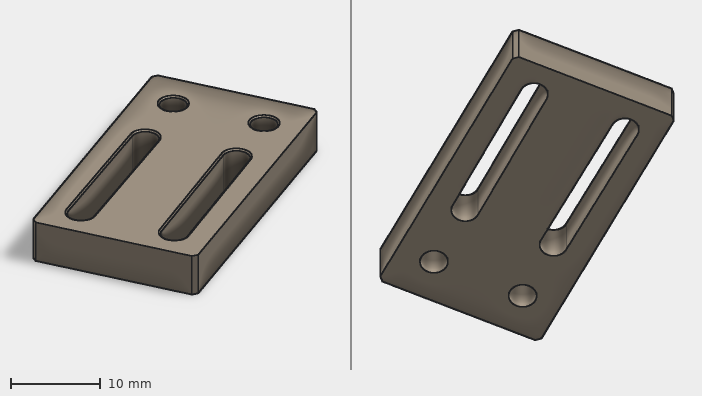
import cadquery as cq
import math

WIDTH = 20.0
LENGTH = 35.0
THICKNESS = 5.0
CORNER_CHAMFER = 0.52

BORE_DIAMETER = 3.1
RIM_CHAMFER = 0.2
RIM_CONE_ANGLE = 90
COLUMN_X = 5.5
HOLE_EDGE_DISTANCE = 5.0
HOLE_Y = LENGTH / 2 - HOLE_EDGE_DISTANCE

LEFT_SLOT_TOP = (-COLUMN_X, 4.45)
LEFT_SLOT_BOTTOM = (-5.67, -13.5)
RIGHT_SLOT_TOP = (COLUMN_X, 4.55)
RIGHT_SLOT_BOTTOM = (5.65, -13.48)


def make_plate():
    plate = cq.Workplane("XY").box(WIDTH, LENGTH, THICKNESS, centered=(True, True, False))
    return plate.edges("|Z").chamfer(CORNER_CHAMFER)


def cut_holes(body):
    centres = [(-COLUMN_X, HOLE_Y), (COLUMN_X, HOLE_Y)]
    rim_diameter = BORE_DIAMETER + 2 * RIM_CHAMFER
    return body.faces(">Z").workplane(origin=(0, 0, THICKNESS)).pushPoints(centres).cskHole(
        BORE_DIAMETER, rim_diameter, RIM_CONE_ANGLE
    )


def slot_cutter(top, bottom):
    """Through slot between two end centres, widening at the upper rim."""
    dx = top[0] - bottom[0]
    dy = top[1] - bottom[1]
    overall_length = math.hypot(dx, dy) + BORE_DIAMETER
    angle = math.degrees(math.atan2(dy, dx))
    middle = ((top[0] + bottom[0]) / 2, (top[1] + bottom[1]) / 2)

    bore = cq.Workplane("XY").center(*middle).slot2D(overall_length, BORE_DIAMETER, angle).extrude(THICKNESS)
    rim = (
        cq.Workplane("XY", origin=(0, 0, THICKNESS))
        .center(*middle)
        .slot2D(overall_length + 2 * RIM_CHAMFER, BORE_DIAMETER + 2 * RIM_CHAMFER, angle)
        .extrude(-RIM_CHAMFER, taper=RIM_CONE_ANGLE / 2)
    )
    return bore.union(rim)


result = cut_holes(make_plate())
result = result.cut(slot_cutter(LEFT_SLOT_TOP, LEFT_SLOT_BOTTOM))
result = result.cut(slot_cutter(RIGHT_SLOT_TOP, RIGHT_SLOT_BOTTOM))